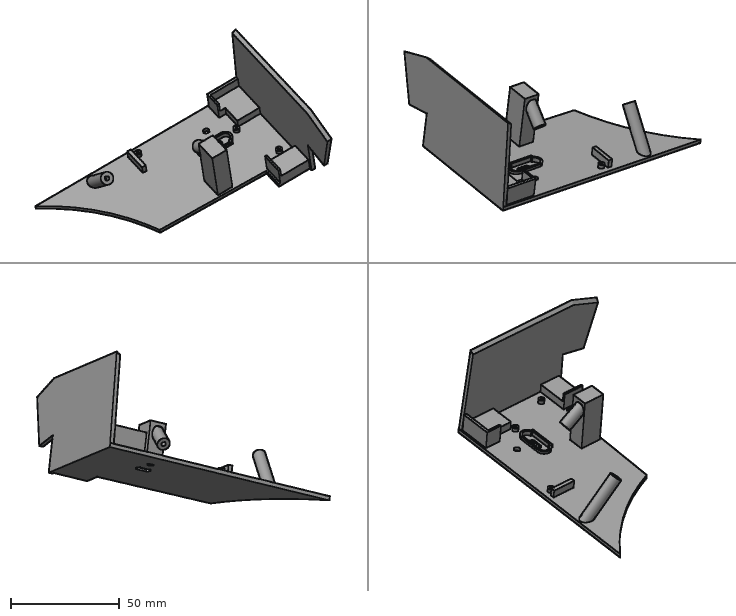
import cadquery as cq
import math


YAW = -2.1
PITCH = 6.3
ROLL = -0.9
CORNER_POSITION = (5.0, 113.6, 12.6)

THICKNESS = 2.0
TIP = (-0.8, -114.2)
ARC_MIDDLE = (18.0, -94.5)
ARC_END = (40.5, -80.5)
FRONT_RIGHT = (47.3, -77.5)
TAB_RIGHT = 59.2
TAB_FRONT = -19.3
TAB_NOTCH_X = 49.1
WALL_TOP_BACK = [(3.6, 46.6), (65.5, 46.5), (81.3, 40.5)]
WALL_TOP_FRONT = [(3.6, 45.3), (65.0, 45.0), (80.5, 39.1)]
WALL_LOWER_EDGE = [(73.5, 15.5), (60.7, 18.0), (60.7, 0), (0, 0)]

SCREEN_THICKNESS = 1.0
LEFT_SCREEN_TOP = 11.3
RIGHT_SCREEN_TOP = 10.8
SCREEN_FRONT = -18.3
BOX_TOP = 6.3
LEFT_SCREEN_X = 0.8
LEFT_SCREEN_WIDTH = 8.4
SIDE_SCREEN_THICKNESS = 1.5
LEFT_BOX_RIGHT = 19.1
LEFT_BOX_FRONT = -14.4
RIGHT_BOX_LEFT = 48.2

COLUMN_X = 35.9
COLUMN_FRONT = -44.9
COLUMN_WIDTH = 11.3
COLUMN_DEPTH = 8.1
COLUMN_TOP = 28.5
POST_DIAMETER = 6.0
POST_HOLE_DIAMETER = 2.0
POST_HOLE_DEPTH = 5.7
FRONT_POST_TIP = (19.7, -85.9, 19.7)
FRONT_POST_ANGLE = 41.0
COLUMN_POST_TIP = (28.1, -40.9, 16.4)
COLUMN_POST_ANGLE = 50.0
POST_LEAN = 2.5
POST_OVERLAP = 2.3

BOSS_CENTERS = [(4.0, -59.9), (20.5, -16.3), (43.4, -8.1)]
BOSS_DIAMETER = 3.0
BOSS_HOLE_DIAMETER = 1.0
BOSS_HEIGHT = 1.9
BAR_X = 1.9
BAR_FRONT = -64.3
BAR_LENGTH = 12.3
BAR_WIDTH = 2.0
BAR_HEIGHT = 4.0
FLOOR_HOLE_CENTER = (11.8, -27.4)
FLOOR_HOLE_DIAMETER = 3.0

SLOT_CENTER = (21.6, -29.1)
RIM_LENGTH = 18.4
RIM_WIDTH = 7.0
RIM_WALL = 1.0
RIM_HEIGHT = 1.4
RECESS_DEPTH = 1.0
BUMP_LENGTH = 14.1
BUMP_REACH = 4.4
OPENING_CENTER = (21.3, -28.6)
OPENING_WIDTH = 4.0
OPENING_LENGTH = 7.0
OPENING_END_RISE = 0.9


def block(left, right, front, back, bottom, top):
    """Box given by its limits along each axis."""
    return cq.Workplane("XY").box(
        right - left, back - front, top - bottom, centered=False
    ).translate((left, front, bottom))


def floor_plate():
    return (
        cq.Workplane("XY")
        .moveTo(0, 0)
        .lineTo(*TIP)
        .threePointArc(ARC_MIDDLE, ARC_END)
        .lineTo(*FRONT_RIGHT)
        .lineTo(TAB_NOTCH_X, TAB_FRONT)
        .lineTo(TAB_RIGHT, TAB_FRONT)
        .lineTo(TAB_RIGHT, 0)
        .close()
        .extrude(THICKNESS)
    )


def wall_plate():
    """Upright plate whose top edges slope down toward the front."""
    return (
        cq.Workplane("XZ")
        .polyline(WALL_TOP_BACK + WALL_LOWER_EDGE)
        .close()
        .workplane(offset=THICKNESS)
        .polyline(WALL_TOP_FRONT + WALL_LOWER_EDGE)
        .close()
        .loft(ruled=True)
    )


def left_corner():
    """Low box behind an L of raised screens."""
    screen_right = LEFT_SCREEN_X + LEFT_SCREEN_WIDTH
    screen_back = SCREEN_FRONT + SCREEN_THICKNESS
    box = block(LEFT_SCREEN_X, LEFT_BOX_RIGHT, LEFT_BOX_FRONT, -THICKNESS, THICKNESS, BOX_TOP)
    link = block(LEFT_SCREEN_X, screen_right, SCREEN_FRONT, LEFT_BOX_FRONT, THICKNESS, BOX_TOP)
    front = block(LEFT_SCREEN_X, screen_right, SCREEN_FRONT, screen_back, THICKNESS, LEFT_SCREEN_TOP)
    side_right = LEFT_SCREEN_X + SIDE_SCREEN_THICKNESS
    side = block(LEFT_SCREEN_X, side_right, SCREEN_FRONT, -THICKNESS, THICKNESS, LEFT_SCREEN_TOP)
    return box.union(link).union(front).union(side)


def right_corner():
    """Low box with a raised screen across its front."""
    screen_back = SCREEN_FRONT + SCREEN_THICKNESS
    box = block(RIGHT_BOX_LEFT, TAB_RIGHT, SCREEN_FRONT, -THICKNESS, THICKNESS, BOX_TOP)
    screen = block(RIGHT_BOX_LEFT, TAB_RIGHT, SCREEN_FRONT, screen_back, THICKNESS, RIGHT_SCREEN_TOP)
    return box.union(screen)


def column():
    right = COLUMN_X + COLUMN_WIDTH
    back = COLUMN_FRONT + COLUMN_DEPTH
    return block(COLUMN_X, right, COLUMN_FRONT, back, THICKNESS, COLUMN_TOP)


def slanted_post(tip, inward, length):
    """Round post running from its drilled tip along the inward direction."""
    end = cq.Plane(origin=tip, xDir=(0, 1, 0), normal=inward)
    rod = cq.Workplane(end).circle(POST_DIAMETER / 2).extrude(length)
    drill = cq.Workplane(end).circle(POST_HOLE_DIAMETER / 2).extrude(POST_HOLE_DEPTH)
    return rod.cut(drill)


def front_post():
    """Post rising to the right from the floor, trimmed at the floor top."""
    angle = math.radians(FRONT_POST_ANGLE)
    inward = (-math.sin(angle), math.tan(math.radians(POST_LEAN)), -math.cos(angle))
    length = (FRONT_POST_TIP[2] - THICKNESS) / math.cos(angle) + POST_DIAMETER
    post = slanted_post(FRONT_POST_TIP, inward, length)
    above_floor = block(TIP[0], FRONT_RIGHT[0], TIP[1], 0, THICKNESS, COLUMN_TOP)
    return post.intersect(above_floor)


def column_post():
    """Post hanging down to the left from the column."""
    angle = math.radians(COLUMN_POST_ANGLE)
    inward = (math.sin(angle), -math.tan(math.radians(POST_LEAN)), math.cos(angle))
    length = (COLUMN_X - COLUMN_POST_TIP[0]) / math.sin(angle) + POST_OVERLAP
    return slanted_post(COLUMN_POST_TIP, inward, length)


def bosses():
    return (
        cq.Workplane("XY", origin=(0, 0, THICKNESS))
        .pushPoints(BOSS_CENTERS)
        .circle(BOSS_DIAMETER / 2)
        .circle(BOSS_HOLE_DIAMETER / 2)
        .extrude(BOSS_HEIGHT)
    )


def bar():
    bar_top = THICKNESS + BAR_HEIGHT
    return block(BAR_X, BAR_X + BAR_LENGTH, BAR_FRONT, BAR_FRONT + BAR_WIDTH, THICKNESS, bar_top)


def rim_shape(inset, bottom):
    """Slot with a flat bump on its right side, shrunk all round by the inset, up to the rim top."""
    rim_top = THICKNESS + RIM_HEIGHT
    center_x, center_y = SLOT_CENTER
    slot = (
        cq.Workplane("XY", origin=(center_x, center_y, bottom))
        .slot2D(RIM_LENGTH - 2 * inset, RIM_WIDTH - 2 * inset, 90)
        .extrude(rim_top - bottom)
    )
    half_bump = BUMP_LENGTH / 2 - inset
    bump = block(
        center_x, center_x + BUMP_REACH - inset,
        center_y - half_bump, center_y + half_bump,
        bottom, rim_top,
    )
    return slot.union(bump)


def slot_opening():
    """Through opening with shallow rounded ends."""
    half_width = OPENING_WIDTH / 2
    half_length = OPENING_LENGTH / 2
    half_straight = half_length - OPENING_END_RISE
    return (
        cq.Workplane("XY", origin=(*OPENING_CENTER, 0))
        .moveTo(half_width, -half_straight)
        .lineTo(half_width, half_straight)
        .threePointArc((0, half_length), (-half_width, half_straight))
        .lineTo(-half_width, -half_straight)
        .threePointArc((0, -half_length), (half_width, -half_straight))
        .close()
        .extrude(THICKNESS)
    )


floor_hole = (
    cq.Workplane("XY", origin=(*FLOOR_HOLE_CENTER, 0))
    .circle(FLOOR_HOLE_DIAMETER / 2)
    .extrude(THICKNESS)
)

body = floor_plate().cut(slot_opening()).cut(floor_hole).union(wall_plate())
for feature in (
    left_corner(),
    right_corner(),
    column().union(column_post()),
    front_post(),
    bosses(),
    bar(),
    rim_shape(0, THICKNESS),
):
    body = body.union(feature)

body = body.cut(rim_shape(RIM_WALL, THICKNESS - RECESS_DEPTH))

result = (
    body.rotate((0, 0, 0), (0, 1, 0), ROLL)
    .rotate((0, 0, 0), (1, 0, 0), PITCH)
    .rotate((0, 0, 0), (0, 0, 1), YAW)
    .translate(CORNER_POSITION)
)